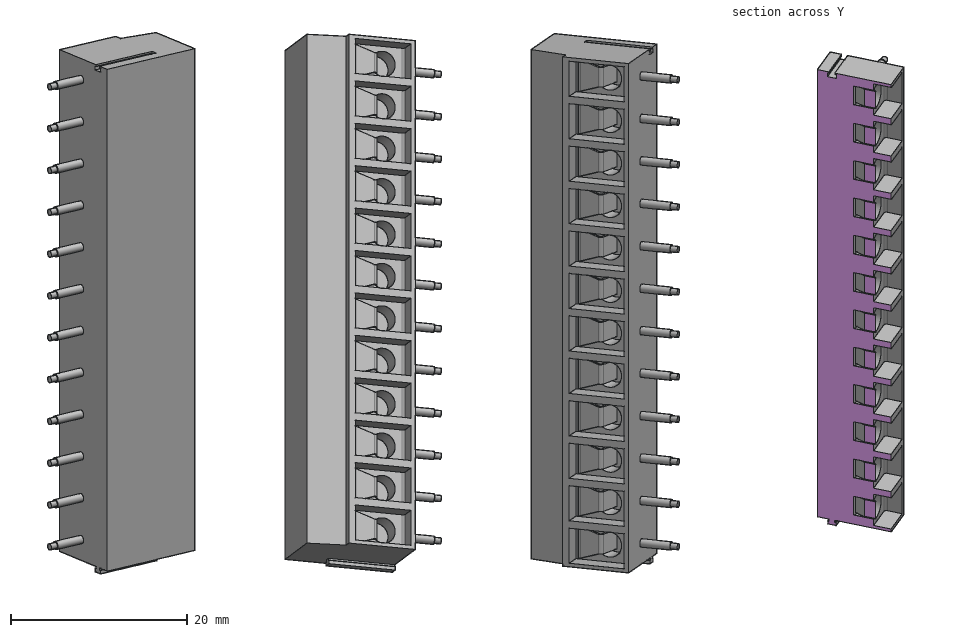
import cadquery as cq
import math

terminal_count = 12
overall_height = 60.7
rail_height = 0.65
body_height = overall_height - rail_height
pitch = body_height / terminal_count
terminal_centers = [(i + 0.5) * pitch for i in range(terminal_count)]

body_width = 9.0
overall_depth = 17.0
pin_length = 4.5
body_depth = overall_depth - pin_length
ledge_y = 8.0
ledge_width = 0.9
slope_top_x = 1.65

pocket_bottom_y = 0.55
pocket_top_y = 7.2
pocket_width = 4.1
pocket_depth = 2.1
pocket_fillet = 0.3

hole_diameter = 3.0
hole_y = 3.15
hole_depth = 2.4

guard_top_y = 6.9
guard_rise = 0.35
guard_bend_y = 4.3
guard_bend_radius = 0.5
guard_bend_angle = math.radians(75)
guard_end_y = hole_y
guard_thickness = 0.35
guard_top_width = 4.0
guard_end_width = 2.3

pin_x = 4.05
pin_diameter = 1.0
tip_diameter = 0.7
tip_length = 0.85

rail_edge_distance = 1.75
rail_x = body_width - rail_edge_distance
rail_neck_width = 0.7
rail_neck_height = 0.25
rail_head_width = 1.05


def make_housing():
    outline = [
        (0, 0),
        (body_width, 0),
        (body_width, body_depth),
        (slope_top_x, body_depth),
        (ledge_width, ledge_y),
        (0, ledge_y),
    ]
    return cq.Workplane("XY").polyline(outline).close().extrude(body_height)


def make_rail(top_z):
    """T-shaped bar hanging from top_z: a narrow neck over a wider head, from Y = 0 up to the ledge."""

    def bar(width, height):
        center_y = ledge_y / 2
        center_z = top_z - rail_height + height / 2
        return cq.Workplane("XY").box(width, ledge_y, height).translate((rail_x, center_y, center_z))

    head = bar(rail_head_width, rail_height - rail_neck_height)
    return head.union(bar(rail_neck_width, rail_height))


def make_wire_opening(center_z):
    """Rectangular pocket with a rounded lower floor corner, and the round hole behind it."""
    pocket_height = pocket_top_y - pocket_bottom_y
    pocket = (
        cq.Workplane("XY")
        .box(pocket_depth, pocket_height, pocket_width, centered=(False, False, True))
        .translate((0, pocket_bottom_y, center_z))
        .edges(">X and <Y")
        .fillet(pocket_fillet)
    )
    hole = (
        cq.Workplane("YZ", origin=(pocket_depth, hole_y, center_z))
        .circle(hole_diameter / 2)
        .extrude(hole_depth)
    )
    return pocket.union(hole)


def make_guard(center_z):
    front_x = pocket_depth - guard_rise
    arc_center_x = front_x + guard_bend_radius

    def bend_point(angle):
        return (
            arc_center_x - guard_bend_radius * math.cos(angle),
            guard_bend_y - guard_bend_radius * math.sin(angle),
        )

    bend_end = bend_point(guard_bend_angle)
    leg_end_x = bend_end[0] + (bend_end[1] - guard_end_y) * math.tan(guard_bend_angle)
    back_x = pocket_depth + guard_thickness
    corner_shift = guard_rise * math.sqrt(0.5)
    side_profile = (
        cq.Workplane("XY")
        .moveTo(pocket_depth, guard_top_y)
        .threePointArc(
            (pocket_depth - corner_shift, guard_top_y - guard_rise + corner_shift),
            (front_x, guard_top_y - guard_rise),
        )
        .lineTo(front_x, guard_bend_y)
        .threePointArc(bend_point(guard_bend_angle / 2), bend_end)
        .lineTo(leg_end_x, guard_end_y)
        .lineTo(leg_end_x, guard_end_y + guard_thickness)
        .lineTo(back_x, guard_bend_y)
        .lineTo(back_x, guard_top_y)
        .close()
        .extrude(guard_top_width / 2, both=True)
    )
    top_half = guard_top_width / 2
    end_half = guard_end_width / 2
    front_outline = [
        (guard_top_y, -top_half),
        (guard_bend_y, -end_half),
        (guard_end_y, -end_half),
        (guard_end_y, end_half),
        (guard_bend_y, end_half),
        (guard_top_y, top_half),
    ]
    taper = cq.Workplane("YZ").polyline(front_outline).close().extrude(body_width)
    return side_profile.intersect(taper).translate((0, 0, center_z))


def make_pin(center_z):
    pin_base = cq.Workplane("XZ", origin=(pin_x, 0, center_z))
    shank = pin_base.circle(pin_diameter / 2).extrude(pin_length - tip_length)
    tip = pin_base.circle(tip_diameter / 2).extrude(pin_length)
    return shank.union(tip)


result = make_housing().cut(make_rail(body_height)).union(make_rail(0))
for z in terminal_centers:
    result = result.cut(make_wire_opening(z))
    result = result.union(make_guard(z)).union(make_pin(z))